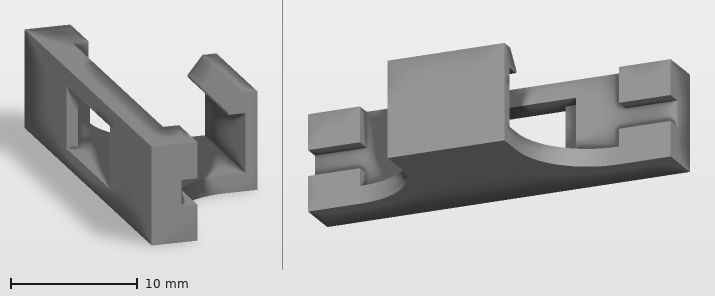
import cadquery as cq

length = 31.2
bar_depth = 3.8
height = 8.2
total_depth = 12.4

groove_depth = 1.35
groove_bottom = 3.0
groove_top = 5.18
recess_width = 22.28

plate_thickness = 1.5
arm_width = 10.05
flare_radius = 6.02
arm_thickness = 0.97

hook_reach = 2.4
hook_flat = 1.15
hook_height = 1.72
hook_lip = 0.2

window_width = 10.67
window_top = 6.7
front_wall = 0.97
pocket_width = 13.73


def block(width, y_start, y_end, z_start, z_end):
    """Box centred on X = 0 between the given Y and Z limits."""
    return (
        cq.Workplane("XY")
        .box(width, y_end - y_start, z_end - z_start, centered=(True, False, False))
        .translate((0, y_start, z_start))
    )


def make_bar():
    """Bar with its back groove, upper recess, front window and hidden pocket."""
    recess_floor = bar_depth - groove_depth
    bar = block(length, 0, bar_depth, 0, height)
    groove = block(length, recess_floor, bar_depth, groove_bottom, groove_top)
    recess = block(recess_width, recess_floor, bar_depth, plate_thickness, height)
    window = block(window_width, 0, front_wall, plate_thickness, window_top)
    pocket = block(pocket_width, front_wall, recess_floor, plate_thickness, window_top)
    return bar.cut(groove).cut(recess).cut(window).cut(pocket)


def make_plate():
    """Base plate that narrows from the bar to the arm along two concave quarter circles."""
    plate_width = arm_width + 2 * flare_radius
    plate = block(plate_width, bar_depth, total_depth, 0, plate_thickness)
    flare_end = bar_depth + flare_radius
    for side in (-1, 1):
        x_outer = side * plate_width / 2
        flare = (
            cq.Workplane("XY")
            .center(x_outer, flare_end)
            .circle(flare_radius)
            .extrude(plate_thickness)
        )
        corner = block(flare_radius, flare_end, total_depth, 0, plate_thickness).translate(
            (side * (arm_width + flare_radius) / 2, 0, 0)
        )
        plate = plate.cut(flare).cut(corner)
    return plate


def make_arm():
    """Upright arm with an inward hook, extruded along X from its YZ profile."""
    inner_face = total_depth - arm_thickness
    hook_tip = total_depth - hook_reach
    hook_underside = height - hook_height
    return (
        cq.Workplane("YZ")
        .moveTo(total_depth, 0)
        .lineTo(total_depth, height)
        .lineTo(total_depth - hook_flat, height)
        .lineTo(hook_tip, hook_underside + hook_lip)
        .lineTo(hook_tip, hook_underside)
        .lineTo(inner_face, hook_underside)
        .lineTo(inner_face, 0)
        .close()
        .extrude(arm_width / 2, both=True)
    )


result = make_bar().union(make_plate()).union(make_arm())